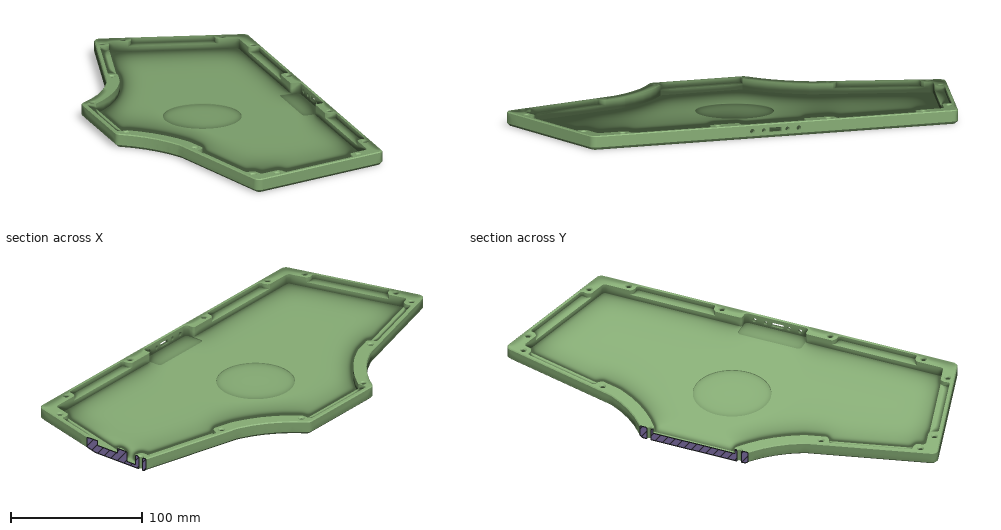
import cadquery as cq
import math

half_width = 177.2
half_depth = 88.08
height = 11.0

edge_slope = 15.0
corner_radius = 5.0
tip_y = -25.5
neck_x = 80.5
neck_arc_radius = 94.0
neck_blend_radius = 21.3
foot_half_width = 38.5
top_chamfer = 0.7
bottom_chamfer = 2.0

wall = 10.3
floor_z = 3.0
cavity_corner_radius = 3.0
thin_wall = 3.0
ledge_z = 7.0
ledge_corner_radius = 1.8
foot_ledge_length = 67.5
recess_depth = 0.7

hole_inset = 5.3
foot_hole_inset = 9.0
hole_diameter = 3.2
countersink_diameter = 5.3
countersink_angle = 90.0
boss_diameter = 12.0
back_hole_x = (121.5, 44.5)
side_hole_y = (69.0, -4.3)
lower_hole_x = (165.0, 91.5)
foot_hole_x = 37.2

disc_diameter = 60.0
disc_y = -4.0

bay_width = 52.5
bay_length = 17.0
bay_corner_radius = 3.0
bay_mouth_radius = 1.8
port_z = 6.0
outer_port_x = 18.8
outer_port_diameter = 3.5
inner_port_x = 9.5
inner_port_diameter = 3.2
centre_port_width = 10.0
centre_port_height = 3.5

slope = math.radians(edge_slope)
tip_x = half_width + corner_radius * (math.cos(slope) + math.sin(slope) - 1)
back_corner = (-tip_x + (half_depth - tip_y) * math.tan(slope), half_depth)
tip = (-tip_x, tip_y)
neck = (-neck_x, tip_y - (tip_x - neck_x) * math.tan(slope))
foot = (-foot_half_width, -half_depth)


def mirrored(point):
    return (-point[0], point[1])


def neck_arc_middle():
    """Middle of the concave arc, which bulges into the plate."""
    run = foot[0] - neck[0]
    drop = neck[1] - foot[1]
    chord = math.hypot(run, drop)
    bulge = neck_arc_radius - math.sqrt(neck_arc_radius**2 - (chord / 2) ** 2)
    middle_x = (neck[0] + foot[0]) / 2 + bulge * drop / chord
    middle_y = (neck[1] + foot[1]) / 2 + bulge * run / chord
    return (middle_x, middle_y)


def round_corners(body, corners, radius):
    """Round the upright edges that stand at the given corners and their mirror images."""
    for x, y in corners:
        for side in (1, -1):
            nearest = cq.selectors.NearestToPointSelector((side * x, y, height / 2))
            body = body.edges("|Z").edges(nearest).fillet(radius)
    return body


def sharp_plate():
    arc_middle = neck_arc_middle()
    plate = (
        cq.Workplane("XY")
        .moveTo(*back_corner)
        .lineTo(*tip)
        .lineTo(*neck)
        .threePointArc(arc_middle, foot)
        .lineTo(*mirrored(foot))
        .threePointArc(mirrored(arc_middle), mirrored(neck))
        .lineTo(*mirrored(tip))
        .lineTo(*mirrored(back_corner))
        .close()
        .extrude(height)
    )
    return round_corners(plate, [neck], neck_blend_radius)


def outer_plate(plate):
    plate = round_corners(plate, [back_corner, tip, foot], corner_radius)
    return plate.faces(">Z").chamfer(top_chamfer).faces("<Z").chamfer(bottom_chamfer)


def cavity(plate):
    outline = plate.faces(">Z").wires().val().offset2D(-wall)[0]
    pocket = cq.Workplane(outline).toPending().extrude(floor_z - height)
    return round_corners(pocket, [back_corner, tip], cavity_corner_radius)


def connector_bay():
    bay_z = floor_z - recess_depth
    return (
        cq.Workplane("XY", origin=(0, half_depth - thin_wall - bay_length / 2, bay_z))
        .rect(bay_width, bay_length)
        .extrude(height - bay_z)
        .edges("|Z")
        .fillet(bay_corner_radius)
    )


def cavity_with_bay(plate):
    space = cavity(plate).union(connector_bay())
    mouth = (bay_width / 2, half_depth - wall)
    return round_corners(space, [mouth], bay_mouth_radius)


def inset_hole(point, inward):
    return (point[0] + hole_inset * inward[0], point[1] + hole_inset * inward[1])


side_inward = (math.cos(slope), -math.sin(slope))
lower_inward = (math.sin(slope), math.cos(slope))
back_holes = [(-x, half_depth - hole_inset) for x in back_hole_x]
side_holes = [inset_hole((tip[0] + (y - tip_y) * math.tan(slope), y), side_inward) for y in side_hole_y]
lower_holes = [inset_hole((-x, tip_y - (tip_x - x) * math.tan(slope)), lower_inward) for x in lower_hole_x]
foot_hole = (-foot_hole_x, foot_hole_inset - half_depth)
left_holes = back_holes + side_holes + lower_holes + [foot_hole]
holes = left_holes + [mirrored(point) for point in left_holes]


def strip_block(length, edge_inset):
    """Upright block spanning the wall from the thin wall inward, with the plate edge at y = -edge_inset."""
    depth = wall - thin_wall
    return (
        cq.Workplane("XY", origin=(0, thin_wall + depth / 2 - edge_inset, ledge_z))
        .rect(length, depth)
        .extrude(height - ledge_z)
    )


def round_outer_corners(strip, length, edge_inset):
    for end in (-length / 2, length / 2):
        nearest = cq.selectors.NearestToPointSelector((end, thin_wall - edge_inset, height))
        strip = strip.edges("|Z").edges(nearest).fillet(ledge_corner_radius)
    return strip


def ledge(start, end):
    """Lowered strip of wall between two screw bosses; the plate edge lies to the right of start-to-end."""
    run_x = end[0] - start[0]
    run_y = end[1] - start[1]
    length = math.hypot(run_x, run_y)
    bosses = (
        cq.Workplane("XY")
        .pushPoints([(-length / 2, 0), (length / 2, 0)])
        .circle(boss_diameter / 2)
        .extrude(height)
    )
    strip = strip_block(length, hole_inset).cut(bosses)
    strip = round_outer_corners(strip, length, hole_inset)
    angle = math.degrees(math.atan2(run_y, run_x))
    middle = ((start[0] + end[0]) / 2, (start[1] + end[1]) / 2, 0)
    return strip.rotate((0, 0, 0), (0, 0, 1), angle).translate(middle)


def foot_ledge():
    strip = strip_block(foot_ledge_length, 0)
    return round_outer_corners(strip, foot_ledge_length, 0).translate((0, -half_depth, 0))


def left_ledges():
    back = ledge(back_holes[1], back_holes[0])
    side = ledge(side_holes[0], side_holes[1])
    lower = ledge(lower_holes[0], lower_holes[1])
    return back.union(side).union(lower)


def screw_holes(body):
    return (
        body.faces(">Z")
        .workplane(origin=(0, 0, height))
        .pushPoints(holes)
        .cskHole(hole_diameter, countersink_diameter, countersink_angle)
    )


def disc_recess():
    return (
        cq.Workplane("XY", origin=(0, disc_y, floor_z - recess_depth))
        .circle(disc_diameter / 2)
        .extrude(recess_depth)
    )


def connector_ports():
    """Openings through the thin back wall of the connector bay."""
    outside = cq.Workplane("XZ", origin=(0, half_depth, port_z))
    reach = 2 * thin_wall
    ports = outside.rect(centre_port_width, centre_port_height).extrude(reach)
    for x, diameter in ((outer_port_x, outer_port_diameter), (inner_port_x, inner_port_diameter)):
        pair = outside.pushPoints([(-x, 0), (x, 0)]).circle(diameter / 2).extrude(reach)
        ports = ports.union(pair)
    return ports


plate = sharp_plate()
ledges = left_ledges()
result = outer_plate(plate).cut(cavity_with_bay(plate))
result = result.cut(ledges).cut(ledges.mirror("YZ"))
result = result.cut(foot_ledge())
result = result.cut(disc_recess()).cut(connector_ports())
result = screw_holes(result)